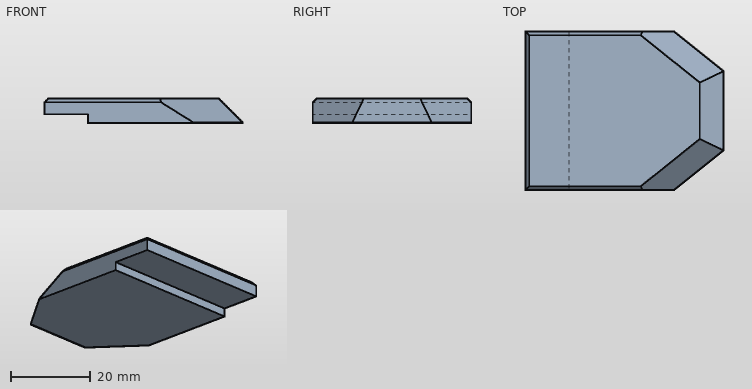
import cadquery as cq
import math

length = 50.0
width = 40.0
height = 6.2

corner_length = 12.5
corner_width = 10.0

edge_bevel = 1.0
nose_bevel = 6.0

step_length = 11.0
step_height = 2.2

half_width = width / 2
shoulder_x = length - corner_length
nose_half_width = half_width - corner_width

outline = [
    (0, -half_width),
    (shoulder_x, -half_width),
    (length, -nose_half_width),
    (length, nose_half_width),
    (shoulder_x, half_width),
    (0, half_width),
]
bevels = [edge_bevel, nose_bevel, nose_bevel, nose_bevel, edge_bevel, edge_bevel]


def bevel_cutter(start, end, size):
    """Triangular bar along one top edge, running past both of its ends."""
    overrun = length
    side_length = math.dist(start, end)
    along = cq.Vector(end[0] - start[0], end[1] - start[1], 0).normalized()
    outward = along.cross(cq.Vector(0, 0, 1))
    origin = cq.Vector(start[0], start[1], height) - along * overrun
    section = cq.Plane(origin=origin, xDir=outward, normal=along * -1)
    margin = size
    return (
        cq.Workplane(section)
        .moveTo(-size - margin, margin)
        .lineTo(margin, -size - margin)
        .lineTo(margin, margin)
        .close()
        .extrude(-(side_length + 2 * overrun))
    )


def rear_step():
    return cq.Workplane("XY").box(step_length, width, step_height, centered=(False, True, False))


plate = cq.Workplane("XY").polyline(outline).close().extrude(height)
for index, bevel in enumerate(bevels):
    side_start = outline[index]
    side_end = outline[(index + 1) % len(outline)]
    plate = plate.cut(bevel_cutter(side_start, side_end, bevel))

result = plate.cut(rear_step())